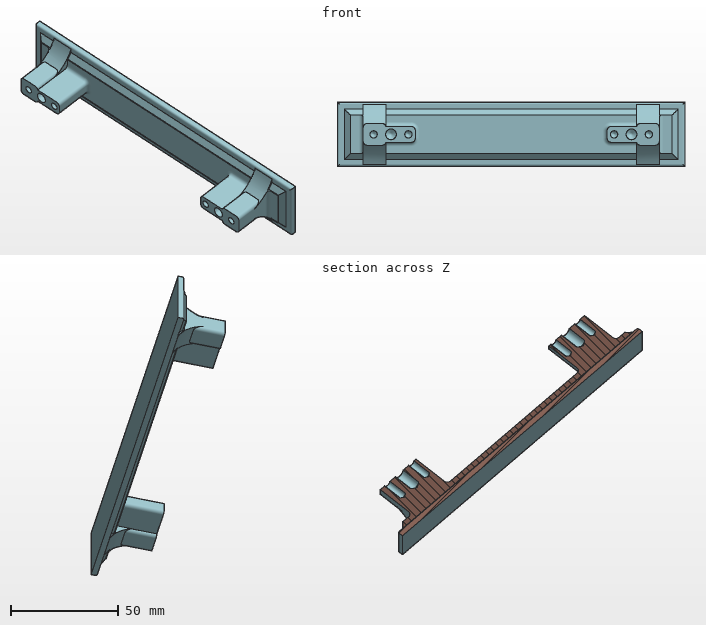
import cadquery as cq
import math


LENGTH = 162.0
WIDTH = 30.0
PLATE_THICKNESS = 3.0
PLATE_EDGE_RADIUS = 1.05

PAD_BASE_INSET = 3.2
PAD_TOP_INSET = 6.0
PAD_SLOPE_HEIGHT = 2.3
PAD_RIM_HEIGHT = 0.3

TOTAL_DEPTH = 26.0
POST_END_INSET = 12.0
WIDE_LENGTH = 10.7
WIDE_WIDTH = 10.2
NARROW_LENGTH = 13.6
NARROW_WIDTH = 7.5
POST_CORNER_RADIUS = 2.0
POST_ROOT_RADIUS = 2.0

WEB_RADIUS = 19.6
WEB_TIP_DEPTH = 15.0
WEB_TIP_WIDTH = 6.5

HOLE_PITCH = 8.1
MIDDLE_HOLE_INSET = 25.0
MIDDLE_HOLE_DIAMETER = 5.0
SIDE_HOLE_DIAMETER = 3.4
HOLE_DEPTH = 10.0
DRILL_TIP_ANGLE = 118.0

SELECT_MARGIN = 0.2

PAD_SLOPE_END = PLATE_THICKNESS + PAD_SLOPE_HEIGHT
PAD_FRONT = PAD_SLOPE_END + PAD_RIM_HEIGHT
PAD_TOP_LENGTH = LENGTH - 2 * PAD_TOP_INSET
PAD_TOP_WIDTH = WIDTH - 2 * PAD_TOP_INSET
POST_OUTER_X = POST_END_INSET - LENGTH / 2
WIDE_INNER_X = POST_OUTER_X + WIDE_LENGTH
POST_INNER_X = WIDE_INNER_X + NARROW_LENGTH
MIDDLE_HOLE_X = MIDDLE_HOLE_INSET - LENGTH / 2


def plane_at_depth(depth):
    """Sketch plane parallel to the plate; local X is +X, local Y is +Z and its normal is -Y."""
    return cq.Workplane("XZ", origin=(0, -depth, 0))


def block(x_start, x_end, width, depth_start, depth_end):
    """Box centred across Z between two X places and two depths from the plate back."""
    return (
        plane_at_depth(depth_start)
        .center((x_start + x_end) / 2, 0)
        .rect(x_end - x_start, width)
        .extrude(depth_end - depth_start)
    )


def make_plate():
    plate = block(-LENGTH / 2, LENGTH / 2, WIDTH, 0, PLATE_THICKNESS)
    return plate.faces("<Y").edges().fillet(PLATE_EDGE_RADIUS)


def make_pad():
    slope = (
        plane_at_depth(PLATE_THICKNESS)
        .rect(LENGTH - 2 * PAD_BASE_INSET, WIDTH - 2 * PAD_BASE_INSET)
        .workplane(offset=PAD_SLOPE_HEIGHT)
        .rect(PAD_TOP_LENGTH, PAD_TOP_WIDTH)
        .loft(ruled=True)
    )
    rim = block(-PAD_TOP_LENGTH / 2, PAD_TOP_LENGTH / 2, PAD_TOP_WIDTH, PAD_SLOPE_END, PAD_FRONT)
    return slope.union(rim)


def make_web(x_start, x_end):
    """Web with a concave arc on each Z side, from the plate edge fillet to inside the wide block."""
    base_z = WIDTH / 2 - PLATE_EDGE_RADIUS
    tip_z = WEB_TIP_WIDTH / 2
    base_y = -PLATE_THICKNESS
    tip_y = -WEB_TIP_DEPTH
    return (
        cq.Workplane("YZ", origin=(x_start, 0, 0))
        .moveTo(base_y, base_z)
        .radiusArc((tip_y, tip_z), WEB_RADIUS)
        .lineTo(tip_y, -tip_z)
        .radiusArc((base_y, -base_z), WEB_RADIUS)
        .close()
        .extrude(x_end - x_start)
    )


def make_outer_root():
    """Concave root fillet along the outer end of the web, trimmed to the web's curved sides."""
    root_end_x = POST_OUTER_X - POST_ROOT_RADIUS
    prism = (
        cq.Workplane("XY", origin=(0, 0, -PAD_TOP_WIDTH / 2))
        .moveTo(POST_OUTER_X, -PAD_FRONT)
        .lineTo(root_end_x, -PAD_FRONT)
        .radiusArc((POST_OUTER_X, -PAD_FRONT - POST_ROOT_RADIUS), POST_ROOT_RADIUS)
        .close()
        .extrude(PAD_TOP_WIDTH)
    )
    return prism.intersect(make_web(root_end_x, POST_OUTER_X))


def make_narrow_block():
    """Narrow block with rounded inner corners and a concave root flare onto the pad."""
    x_start = POST_OUTER_X + WIDE_LENGTH / 2
    post = block(x_start, POST_INNER_X, NARROW_WIDTH, PAD_FRONT, TOTAL_DEPTH)
    post = post.edges("|Y and >X").fillet(POST_CORNER_RADIUS)
    foot_margin = 2 * POST_ROOT_RADIUS
    foot = block(
        x_start, POST_INNER_X + foot_margin, NARROW_WIDTH + 2 * foot_margin, PAD_SLOPE_END, PAD_FRONT
    )
    root_edges = cq.selectors.BoxSelector(
        (x_start + SELECT_MARGIN, -PAD_FRONT - SELECT_MARGIN, -NARROW_WIDTH / 2 - SELECT_MARGIN),
        (POST_INNER_X + SELECT_MARGIN, -PAD_FRONT + SELECT_MARGIN, NARROW_WIDTH / 2 + SELECT_MARGIN),
    )
    return foot.union(post).edges(root_edges).fillet(POST_ROOT_RADIUS)


def make_hole(x, diameter):
    tip_length = diameter / 2 / math.tan(math.radians(DRILL_TIP_ANGLE / 2))
    bottom = HOLE_DEPTH - TOTAL_DEPTH
    return (
        cq.Workplane("XY", origin=(x, 0, 0))
        .moveTo(0, -TOTAL_DEPTH)
        .lineTo(diameter / 2, -TOTAL_DEPTH)
        .lineTo(diameter / 2, bottom)
        .lineTo(0, bottom + tip_length)
        .close()
        .revolve(360, (0, 0, 0), (0, 1, 0))
    )


def make_post():
    """Post at the -X end, with its web, root fillets and three holes."""
    wide = block(POST_OUTER_X, WIDE_INNER_X, WIDE_WIDTH, PLATE_THICKNESS, TOTAL_DEPTH)
    post = wide.edges("|Y").fillet(POST_CORNER_RADIUS)
    post = post.union(make_web(POST_OUTER_X, WIDE_INNER_X))
    post = post.union(make_narrow_block())
    post = post.union(make_outer_root())
    post = post.cut(make_hole(MIDDLE_HOLE_X, MIDDLE_HOLE_DIAMETER))
    for side in (-1, 1):
        post = post.cut(make_hole(MIDDLE_HOLE_X + side * HOLE_PITCH, SIDE_HOLE_DIAMETER))
    return post


def make_handle():
    """Pad with a post at each end, mirrored about the middle of its length."""
    post = make_post()
    return make_pad().union(post).union(post.mirror("YZ"))


plate = make_plate()
handle = make_handle()

result = cq.Compound.makeCompound([plate.val(), handle.solids().val()])